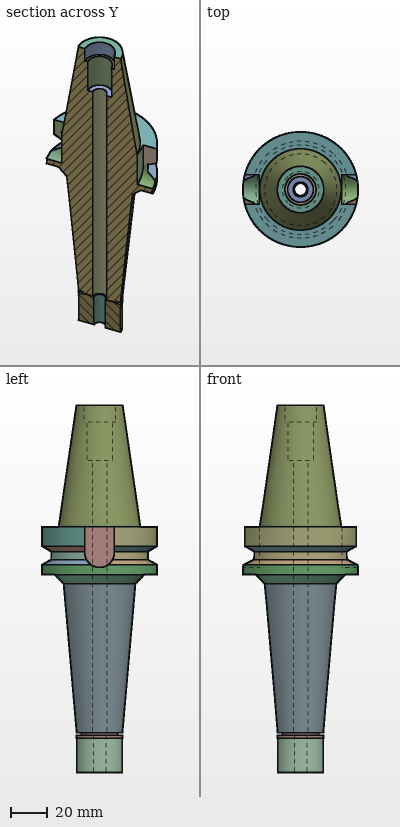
import cadquery as cq
import math


gauge_radius = 44.45 / 2
taper_length = 65.4
taper_ratio = 7 / 24
taper_end_radius = gauge_radius - taper_length * taper_ratio / 2

flange_radius = 63.0 / 2
flange_top = -1.0
flange_bottom = -27.0
groove_floor_radius = 53.0 / 2
groove_center = -16.6
groove_floor_half = 2.2
groove_flank_angle = 30.0
groove_depth = flange_radius - groove_floor_radius
groove_mouth_half = groove_floor_half + groove_depth * math.tan(math.radians(groove_flank_angle))

slot_width = 16.1
slot_floor = 22.6
slot_bottom = -23.1

relief_top_radius = 24.5
relief_height = 5.0
relief_bottom = flange_bottom - relief_height
shank_top_radius = 19.65
shank_end_radius = 12.55
shank_end = -113.3

neck_radius = 10.0
neck_end = -114.5

nut_radius = 12.5
nut_bottom = -135.0
nut_rim_length = 1.8
nut_rim_radius = 12.6
nut_bore_radius = 6.7 / 2

pull_bore_radius = 17.0 / 2
pull_bore_depth = 9.0
thread_bore_radius = 14.0 / 2
thread_bore_depth = 30.0
through_bore_radius = 8.0 / 2


def revolve_profile(points):
    """Revolve a closed (radius, z) outline about the Z axis."""
    return cq.Workplane("YZ").polyline(points).close().revolve(360, (0, 0, 0), (0, 1, 0))


def drill(body, radius, top, bottom):
    """Cut a round hole along the Z axis."""
    cutter = cq.Workplane("XY").workplane(offset=bottom).circle(radius).extrude(top - bottom)
    return body.cut(cutter)


def drive_slot(side):
    """Round-ended slot cutter, outside the slot floor on one side in X (side is +1 or -1)."""
    half_width = slot_width / 2
    round_center = slot_bottom + half_width
    outline = (
        cq.Workplane("YZ", origin=(side * slot_floor, 0, 0))
        .moveTo(-half_width, flange_top)
        .lineTo(-half_width, round_center)
        .threePointArc((0, slot_bottom), (half_width, round_center))
        .lineTo(half_width, flange_top)
        .close()
    )
    return outline.extrude(side * flange_radius)


def make_holder():
    """Taper, slotted flange, shank and neck in one piece, bored from end to end."""
    body = revolve_profile([
        (0, taper_length),
        (taper_end_radius, taper_length),
        (gauge_radius, 0),
        (gauge_radius, flange_top),
        (flange_radius, flange_top),
        (flange_radius, groove_center + groove_mouth_half),
        (groove_floor_radius, groove_center + groove_floor_half),
        (groove_floor_radius, groove_center - groove_floor_half),
        (flange_radius, groove_center - groove_mouth_half),
        (flange_radius, flange_bottom),
        (relief_top_radius, flange_bottom),
        (shank_top_radius, relief_bottom),
        (shank_end_radius, shank_end),
        (neck_radius, shank_end),
        (neck_radius, neck_end),
        (0, neck_end),
    ])
    for side in (-1, 1):
        body = body.cut(drive_slot(side))
    body = drill(body, pull_bore_radius, taper_length, taper_length - pull_bore_depth)
    body = drill(body, thread_bore_radius, taper_length, taper_length - thread_bore_depth)
    return drill(body, through_bore_radius, taper_length, neck_end)


def make_nut():
    """Cylindrical nut with a slightly larger rim on its upper end."""
    rim_bottom = neck_end - nut_rim_length
    body = revolve_profile([
        (0, neck_end),
        (nut_rim_radius, neck_end),
        (nut_rim_radius, rim_bottom),
        (nut_radius, rim_bottom),
        (nut_radius, nut_bottom),
        (0, nut_bottom),
    ])
    return drill(body, nut_bore_radius, neck_end, nut_bottom)


holder = make_holder()
nut = make_nut()

result = cq.Compound.makeCompound([holder.val(), nut.val()])